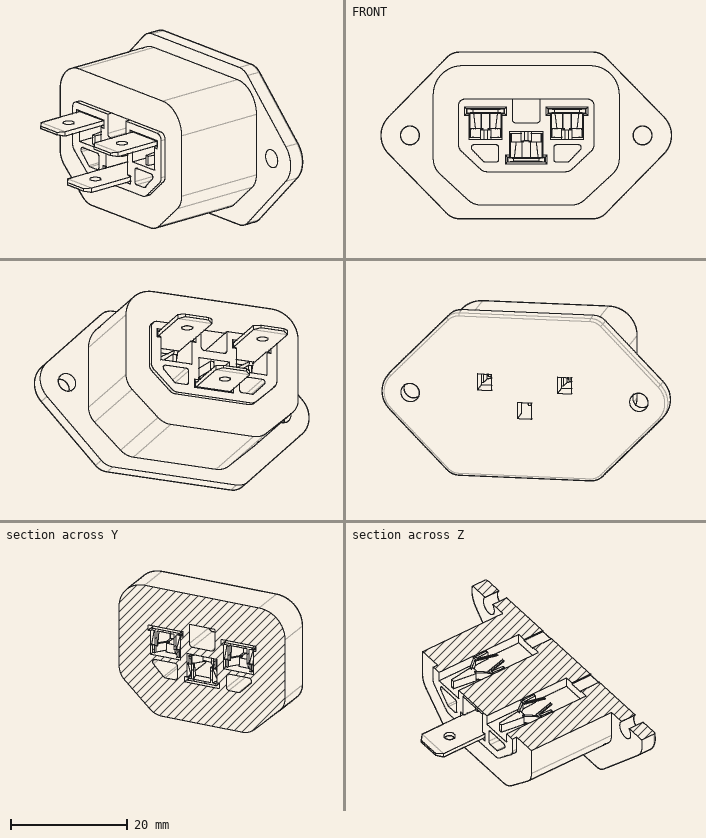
import cadquery as cq
import math


flange_length = 49.95
flange_height = 28.7
flange_thickness = 3.0
flange_top_half_width = 12.75
flange_end_radius = 4.5
flange_corner_radius = 3.0
flange_edge_radius = 0.45
mount_hole_x = 20.0
mount_hole_diameter = 3.2

shell_half_width = 16.0
shell_half_height = 12.0
shell_rear = -20.0
shell_top_radius = 5.0
shell_bottom_radius = 3.5
shell_bottom_cut_x = 6.95
shell_bottom_cut_z = 6.45

boss_half_width = 11.65
boss_half_height = 6.25
boss_rear = -20.9
boss_top_radius = 1.1
boss_bottom_radius = 1.5
boss_bottom_cut_x = 4.25
boss_bottom_cut_z = 4.0

pocket_floor = -4.0
notch_half_width = 2.4
notch_bottom = 2.15
notch_radius = 0.6
corner_pocket_inner_x = 4.75
corner_pocket_outer_x = 9.45
corner_pocket_top = -1.6
corner_pocket_bottom = -4.6
corner_pocket_cut_x = 2.2
corner_pocket_cut_z = 2.3
corner_pocket_radius = 0.45

terminal_pitch = 7.0
blade_z = 4.2
blade_width = 6.3
blade_thickness = 0.8
blade_tip = -30.3
blade_inner_end = -15.0
blade_taper_length = 0.95
blade_tip_width = 4.3
blade_tip_thickness = 0.45
blade_hole_y = -25.8
blade_hole_diameter = 1.9
blade_bottom = blade_z - blade_thickness / 2

slot_z = 4.15
slot_width = 6.6
slot_height = 0.9
slot_lead_in = 0.3
cavity_half_width = 2.85
cavity_bottom = -0.7
pin_hole_half_width = 1.25
pin_hole_bottom = 0.95
pin_hole_top = blade_bottom

sheet = 0.45
clip_half_width = 2.7
web_bottom = 1.0
web_top_y = blade_inner_end
web_bottom_y = -13.75
bridge_end_y = -13.0
window_half_width = 2.05
leaf_end_y = -10.0
leaf_gap_half_width = 0.7
arm_bottom = -0.35
arm_top = 1.15
arm_root_y = -11.0
arm_bend_y = -13.75
arm_bend_x = 2.55
nose_rear = -20.1
nose_rear_half_width = 0.3
nose_front = -15.75
nose_front_half_width = 0.9


def prism_y(outline, rear, front):
    """Extrude an XZ outline between two Y positions."""
    return cq.Workplane("XZ", origin=(0, front, 0)).polyline(outline).close().extrude(front - rear)


def prism_x(outline, half_width):
    """Extrude a YZ outline to both sides of x = 0."""
    return cq.Workplane("YZ").polyline(outline).close().extrude(half_width, both=True)


def prism_z(outline, bottom, top):
    """Extrude an XY outline between two heights."""
    return cq.Workplane("XY", origin=(0, 0, bottom)).polyline(outline).close().extrude(top - bottom)


def box(x0, x1, y0, y1, z0, z1):
    return cq.Workplane("XY").box(x1 - x0, y1 - y0, z1 - z0, centered=False).translate((x0, y0, z0))


def both_sides(body):
    return body.union(body.mirror("YZ"))


def place(body, x, flipped):
    """Move a body made at x = 0 to its terminal position; a flipped one is turned upside down."""
    angle = 180 if flipped else 0
    return body.rotate((0, 0, 0), (0, 1, 0), angle).translate((x, 0, 0))


def make_flange():
    half_length = flange_length / 2
    half_height = flange_height / 2
    center_x = half_length - flange_end_radius
    corner_dx = flange_top_half_width - center_x
    corner_angle = math.atan2(half_height, corner_dx)
    angle = corner_angle - math.acos(flange_end_radius / math.hypot(corner_dx, half_height))
    arc_x = center_x + flange_end_radius * math.cos(angle)
    arc_z = flange_end_radius * math.sin(angle)
    flange = (
        cq.Workplane("XZ")
        .moveTo(-flange_top_half_width, half_height)
        .lineTo(flange_top_half_width, half_height)
        .lineTo(arc_x, arc_z)
        .threePointArc((half_length, 0), (arc_x, -arc_z))
        .lineTo(flange_top_half_width, -half_height)
        .lineTo(-flange_top_half_width, -half_height)
        .lineTo(-arc_x, -arc_z)
        .threePointArc((-half_length, 0), (-arc_x, arc_z))
        .close()
        .extrude(flange_thickness)
    )
    flange = flange.edges("|Y and (>Z or <Z)").fillet(flange_corner_radius)
    flange = flange.faces(">Y").edges().fillet(flange_edge_radius)
    holes = (
        cq.Workplane("XZ")
        .pushPoints([(-mount_hole_x, 0), (mount_hole_x, 0)])
        .circle(mount_hole_diameter / 2)
        .extrude(flange_thickness)
    )
    return flange.cut(holes)


def connector_block(half_width, half_height, cut_x, cut_z, top_radius, bottom_radius, rear):
    """A block with rounded top corners and bevelled, rounded bottom corners."""
    outline = [
        (-half_width, half_height),
        (half_width, half_height),
        (half_width, cut_z - half_height),
        (half_width - cut_x, -half_height),
        (cut_x - half_width, -half_height),
        (-half_width, cut_z - half_height),
    ]
    block = prism_y(outline, rear, -flange_thickness)
    block = block.edges("|Y and >Z").fillet(top_radius)
    lower_half = cq.selectors.BoxSelector(
        (-half_width - 0.5, rear - 0.5, -half_height - 0.5),
        (half_width + 0.5, 0.5, cut_z - half_height + 0.05),
    )
    return block.edges("|Y").edges(lower_half).fillet(bottom_radius)


def make_notch():
    notch = box(-notch_half_width, notch_half_width, boss_rear, pocket_floor, notch_bottom, boss_half_height)
    return notch.edges("|Y and <Z").fillet(notch_radius)


def make_corner_pockets():
    outline = [
        (corner_pocket_inner_x, corner_pocket_top),
        (corner_pocket_outer_x, corner_pocket_top),
        (corner_pocket_outer_x, corner_pocket_bottom + corner_pocket_cut_z),
        (corner_pocket_outer_x - corner_pocket_cut_x, corner_pocket_bottom),
        (corner_pocket_inner_x, corner_pocket_bottom),
    ]
    pocket = prism_y(outline, boss_rear, pocket_floor).edges("|Y").fillet(corner_pocket_radius)
    return both_sides(pocket)


def make_cavity():
    """Blade slot with its lead-in, the clip space under it and the pin hole through the front."""
    slot = (
        cq.Workplane("XZ", origin=(0, bridge_end_y, slot_z))
        .rect(slot_width, slot_height)
        .extrude(bridge_end_y - boss_rear)
    )
    lead_in = (
        cq.Workplane("XZ", origin=(0, boss_rear, slot_z))
        .rect(slot_width + 2 * slot_lead_in, slot_height + 2 * slot_lead_in)
        .workplane(offset=-slot_lead_in)
        .rect(slot_width, slot_height)
        .loft()
    )
    clip_space = box(
        -cavity_half_width, cavity_half_width, boss_rear, pocket_floor, cavity_bottom, blade_bottom
    )
    pin_hole = box(-pin_hole_half_width, pin_hole_half_width, pocket_floor, 0, pin_hole_bottom, pin_hole_top)
    return slot.union(lead_in).union(clip_space).union(pin_hole)


def make_housing():
    shell = connector_block(
        shell_half_width, shell_half_height, shell_bottom_cut_x, shell_bottom_cut_z,
        shell_top_radius, shell_bottom_radius, shell_rear,
    )
    boss = connector_block(
        boss_half_width, boss_half_height, boss_bottom_cut_x, boss_bottom_cut_z,
        boss_top_radius, boss_bottom_radius, boss_rear,
    )
    housing = make_flange().union(shell).union(boss).cut(make_notch()).cut(make_corner_pockets())
    cavity = make_cavity()
    for x, flipped in terminal_places:
        housing = housing.cut(place(cavity, x, flipped))
    return housing


def make_blade():
    """Flat tab whose tip tapers in width and in thickness, with a hole through it."""
    taper_start = blade_tip + blade_taper_length
    plan = [
        (-blade_width / 2, blade_inner_end),
        (-blade_width / 2, taper_start),
        (-blade_tip_width / 2, blade_tip),
        (blade_tip_width / 2, blade_tip),
        (blade_width / 2, taper_start),
        (blade_width / 2, blade_inner_end),
    ]
    side = [
        (blade_inner_end, blade_z + blade_thickness / 2),
        (taper_start, blade_z + blade_thickness / 2),
        (blade_tip, blade_z + blade_tip_thickness / 2),
        (blade_tip, blade_z - blade_tip_thickness / 2),
        (taper_start, blade_bottom),
        (blade_inner_end, blade_bottom),
    ]
    blade = prism_z(plan, blade_bottom, blade_bottom + blade_thickness)
    blade = blade.intersect(prism_x(side, blade_width))
    hole = (
        cq.Workplane("XY", origin=(0, blade_hole_y, blade_bottom))
        .circle(blade_hole_diameter / 2)
        .extrude(blade_thickness)
    )
    return blade.cut(hole)


def make_arm():
    """Right-hand arm running from the nose outward and then forward along the cavity wall."""
    plan = [
        (nose_front_half_width - sheet, nose_front),
        (nose_front_half_width, nose_front),
        (arm_bend_x, arm_bend_y),
        (clip_half_width, arm_root_y),
        (clip_half_width - sheet, arm_root_y),
        (arm_bend_x - sheet, arm_bend_y),
    ]
    return prism_z(plan, arm_bottom, arm_top)


def make_nose():
    """Tapered nose that stands on the cavity floor and joins the two arms."""
    plan = [
        (-nose_front_half_width, nose_front),
        (-nose_rear_half_width, nose_rear),
        (nose_rear_half_width, nose_rear),
        (nose_front_half_width, nose_front),
        (nose_front_half_width, nose_front + sheet),
        (-nose_front_half_width, nose_front + sheet),
    ]
    return prism_z(plan, cavity_bottom, pin_hole_bottom)


def make_clip():
    """Sloped web under the blade, with two leaves toward the pin hole, and two arms and a nose."""
    web_side = [
        (web_top_y, blade_bottom),
        (web_bottom_y, web_bottom),
        (web_bottom_y + sheet, web_bottom),
        (web_top_y + sheet, blade_bottom),
    ]
    window = box(
        -window_half_width, window_half_width, web_top_y, leaf_end_y, web_bottom, blade_bottom
    )
    web = prism_x(web_side, clip_half_width).cut(window)

    bridge = box(
        -clip_half_width, clip_half_width, web_top_y, bridge_end_y, blade_bottom, blade_bottom + sheet
    )

    leaf_plan = [
        (window_half_width, web_top_y),
        (leaf_gap_half_width, leaf_end_y),
        (leaf_gap_half_width + sheet, leaf_end_y),
        (window_half_width + sheet, web_top_y),
    ]
    behind_web = [
        (web_top_y, blade_bottom),
        (web_bottom_y, web_bottom),
        (leaf_end_y, web_bottom),
        (leaf_end_y, blade_bottom),
    ]
    leaf = prism_z(leaf_plan, web_bottom, blade_bottom).intersect(prism_x(behind_web, clip_half_width))

    clip = bridge.union(web).union(both_sides(leaf))
    return clip.union(both_sides(make_arm())).union(make_nose())


terminal_places = [(-terminal_pitch, False), (0, True), (terminal_pitch, False)]

housing = make_housing()
blades = [place(make_blade(), x, flipped) for x, flipped in terminal_places]
clips = [place(make_clip(), x, flipped) for x, flipped in terminal_places]

result = cq.Compound.makeCompound([
    housing.val(),
    *[blade.val() for blade in blades],
    *[clip.val() for clip in clips],
])